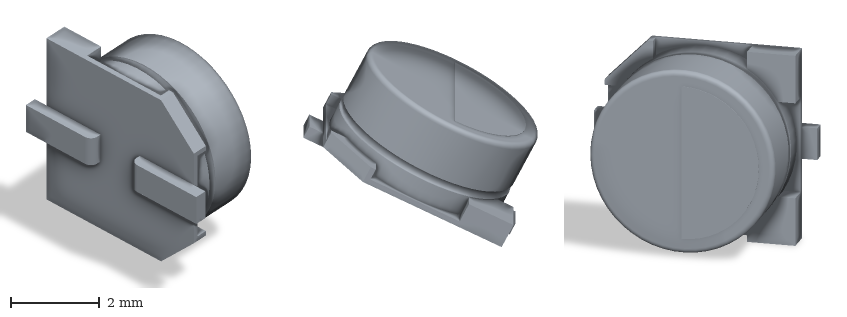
import cadquery as cq


overall_length = 5.2
lead_width = 0.75
lead_thickness = 0.3
lead_gap = 1.195
lead_round = 0.2

base_size = 4.5
base_chamfer = 1.0
floor_thickness = 0.13
tall_post_height = 0.6
short_post_height = 0.4
notch_width = base_size / 2

overall_depth = 2.4
can_radius = 2.16
can_round = 0.12
groove_radius = 0.1
groove_height = 0.725
mark_radius = 1.805
mark_thickness = 0.015

seat_y = 0.0
floor_y = seat_y + floor_thickness
mark_top_y = seat_y + overall_depth - lead_thickness
can_top_y = mark_top_y - mark_thickness


def xz_plane(y):
    """Plane at height y whose normal is +Y; its local x is -X and its local y is +Z."""
    return cq.Workplane(cq.Plane(origin=(0, y, 0), xDir=(-1, 0, 0), normal=(0, 1, 0)))


def make_base():
    """Chamfered plate with four corner posts around the can; the +X posts are shorter."""
    base = (
        xz_plane(seat_y)
        .rect(base_size, base_size)
        .extrude(tall_post_height)
        .edges("|Y and >X")
        .chamfer(base_chamfer)
    )
    step = (
        xz_plane(seat_y + short_post_height)
        .center(-base_size / 4, 0)
        .rect(base_size / 2, base_size)
        .extrude(tall_post_height)
    )
    notch_along_x = xz_plane(floor_y).rect(base_size, notch_width).extrude(tall_post_height)
    notch_along_z = xz_plane(floor_y).rect(notch_width, base_size).extrude(tall_post_height)
    can_seat = xz_plane(floor_y).circle(can_radius).extrude(tall_post_height)
    return base.cut(step).cut(notch_along_x).cut(notch_along_z).cut(can_seat)


def make_can():
    """Cylinder with a rounded top rim and a half-round crimp groove."""
    groove_y = seat_y + groove_height
    return (
        cq.Workplane("XY")
        .moveTo(0, floor_y)
        .lineTo(can_radius, floor_y)
        .lineTo(can_radius, groove_y - groove_radius)
        .threePointArc(
            (can_radius - groove_radius, groove_y),
            (can_radius, groove_y + groove_radius),
        )
        .lineTo(can_radius, can_top_y)
        .lineTo(0, can_top_y)
        .close()
        .revolve(360, (0, 0, 0), (0, 1, 0))
        .faces(">Y")
        .edges()
        .fillet(can_round)
    )


def make_polarity_mark():
    """Thin half disc on the -X half of the can top."""
    disc = xz_plane(can_top_y).circle(mark_radius).extrude(mark_thickness)
    negative_half = (
        xz_plane(can_top_y)
        .center(mark_radius / 2, 0)
        .rect(mark_radius, 2 * mark_radius)
        .extrude(mark_thickness)
    )
    return disc.intersect(negative_half)


def make_lead(side):
    """Flat lead under the base; side is -1 for the -X lead and +1 for the +X lead."""
    inner_x = side * lead_gap / 2
    outer_x = side * overall_length / 2
    inner_end = "<X" if side > 0 else ">X"
    return (
        cq.Workplane("XY")
        .center((inner_x + outer_x) / 2, seat_y - lead_thickness / 2)
        .box(abs(outer_x - inner_x), lead_thickness, lead_width)
        .faces(inner_end)
        .edges("<Y")
        .fillet(lead_round)
    )


base = make_base()
can = make_can()
polarity_mark = make_polarity_mark()
leads = [make_lead(side) for side in (-1, 1)]

result = cq.Compound.makeCompound(
    [base.val(), can.val(), polarity_mark.val(), *[lead.val() for lead in leads]]
)